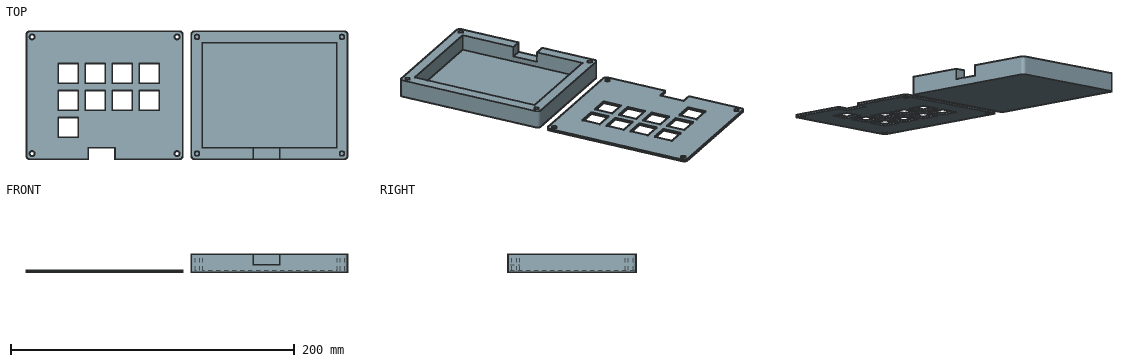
import cadquery as cq

overall_length = 226.5
width = 110.3
depth = 90.5
corner_radius = 2.5
body_spacing = overall_length - width

screw_diameter = 3.5
screw_inset = 4.0

case_height = 13.0
floor_thickness = 1.5
side_wall = 7.7
end_wall = 8.2
pocket_width = width - 2 * side_wall
pocket_depth = depth - 2 * end_wall

notch_width = 18.5
notch_offset = -2.0
notch_height = 7.5

plate_thickness = 1.5
key_opening = 13.8
key_pitch = 19.0
keys_per_row = [4, 4, 1]
first_key_x = -25.5
first_key_y = 15.5


def rounded_block(height):
    """Footprint block centred on the Z axis, with rounded vertical corners."""
    block = cq.Workplane("XY").box(width, depth, height, centered=(True, True, False))
    return block.edges("|Z").fillet(corner_radius)


def screw_holes(bottom, top):
    """Four corner cylinders between two heights."""
    spacing_x = width - 2 * screw_inset
    spacing_y = depth - 2 * screw_inset
    return (
        cq.Workplane("XY", origin=(0, 0, bottom))
        .rect(spacing_x, spacing_y, forConstruction=True)
        .vertices()
        .circle(screw_diameter / 2)
        .extrude(top - bottom)
    )


def cable_notch(bottom, top):
    """Block as deep as the front wall, between two heights."""
    return (
        cq.Workplane("XY", origin=(notch_offset, (end_wall - depth) / 2, bottom))
        .rect(notch_width, end_wall)
        .extrude(top - bottom)
    )


def key_openings():
    """Square openings in left-aligned rows, counted from the back row."""
    centres = [
        (first_key_x + column * key_pitch, first_key_y - row * key_pitch)
        for row, key_count in enumerate(keys_per_row)
        for column in range(key_count)
    ]
    return (
        cq.Workplane("XY")
        .pushPoints(centres)
        .rect(key_opening, key_opening)
        .extrude(plate_thickness)
    )


def make_key_plate():
    plate = rounded_block(plate_thickness)
    plate = plate.cut(screw_holes(0, plate_thickness))
    plate = plate.cut(cable_notch(0, plate_thickness))
    return plate.cut(key_openings())


def make_case():
    case = rounded_block(case_height)
    pocket = (
        cq.Workplane("XY", origin=(0, 0, floor_thickness))
        .rect(pocket_width, pocket_depth)
        .extrude(case_height - floor_thickness)
    )
    case = case.cut(pocket)
    case = case.cut(screw_holes(floor_thickness, case_height))
    return case.cut(cable_notch(case_height - notch_height, case_height))


key_plate = make_key_plate()
case = make_case().translate((body_spacing, 0, 0))

result = cq.Compound.makeCompound([key_plate.val(), case.val()])